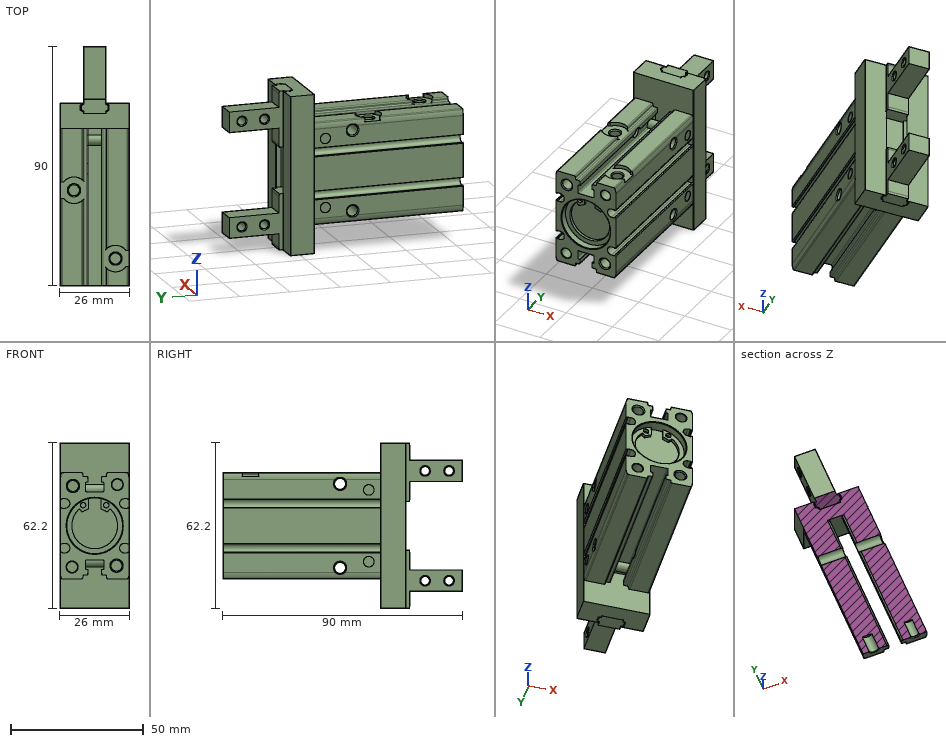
import cadquery as cq
import math


OVERLAP = 1.0
EDGE_TOLERANCE = 0.05

WIDTH = 26.0
HALF_WIDTH = WIDTH / 2
BODY_HALF_HEIGHT = 20.0
BODY_LENGTH = 59.2
FLANK_BEND_HEIGHT = 17.5
FLANK_INSET = 0.6
FLANK_EDGE_X = HALF_WIDTH - FLANK_INSET
LAND_EDGE_RADIUS = 0.5

SLOT_STEP_HALF_WIDTH = 4.5
SLOT_STEP_HEIGHT = 18.55
SLOT_MOUTH_HALF_WIDTH = 2.55
SLOT_ROOF_HEIGHT = 16.4
SLOT_ROOM_HALF_WIDTH = 3.45
SLOT_FLOOR_HEIGHT = 12.8
SLOT_EDGE_RADIUS = 0.5
SLOT_ROOM_RADIUS = 0.4

GROOVE_Z = 8.4
GROOVE_RADIUS = 1.8
GROOVE_X = HALF_WIDTH - 1.85
GROOVE_NECK_HALF_WIDTH = 1.5
GROOVE_MOUTH_HALF_WIDTH = 1.75
GROOVE_NECK_X = HALF_WIDTH - 0.5
GROOVE_LIP_X = HALF_WIDTH - 0.8

THREAD_DIAMETER = 4.13
THREAD_CHAMFER_DIAMETER = 5.0
SMALL_CHAMFER_DIAMETER = 4.5
END_HOLE_DEPTH = 7.0
END_HOLES = [
    ((8.2, -15.0), THREAD_CHAMFER_DIAMETER),
    ((8.5, 15.5), SMALL_CHAMFER_DIAMETER),
]
CROSS_HOLE_Y = 44.0
CROSS_HOLE_Z = 15.8

PORTS = [(-7.8, 36.0), (7.8, 10.3)]
PORT_DEPTH = 3.0
SPOT_FACE_RADIUS = 5.0
SPOT_FACE_OUTLET_WIDTH = 6.1

PIN_DIAMETER = 4.0
PIN_Y = 54.8
PIN_Z = 13.5
PIN_END_RECESS = 0.1

BORE_DIAMETER = 21.0
BORE_RADIUS = BORE_DIAMETER / 2
BORE_CHAMFER = 0.25
RING_DEPTH = 3.0
RING_THICKNESS = 1.2
RING_INNER_RADIUS = 8.6
RING_GAP_HALF_WIDTH = 2.3
LUG_GAP_END_Z = 6.4
LUG_TIP = (4.7, 5.25)
LUG_OUTER_CORNER = (5.8, 6.35)
LUG_HOLE = (4.35, 7.75)
LUG_HOLE_DIAMETER = 2.0

PLATE_HALF_HEIGHT = 31.1
PLATE_END_Y = 68.75
PLATE_EDGE_CHAMFER = 0.15

JAW_END_Y = 90.0
JAW_WIDTH = 8.4
JAW_HALF_WIDTH = JAW_WIDTH / 2
JAW_BASE_Y = 64.9
JAW_SHOULDER_Y = 70.25
JAW_BASE_LENGTH = 22.0
JAW_BASE_INNER_Z = PLATE_HALF_HEIGHT - JAW_BASE_LENGTH
JAW_TAPER_LENGTH = 1.0
JAW_TAPER_DROP = 0.2
JAW_BAR_Z = 20.65
JAW_BAR_HEIGHT = 8.1
JAW_HOLE_Y_POSITIONS = [76.0, 85.0]
JAW_HOLE_DIAMETER = 3.24
JAW_HOLE_CHAMFER_DIAMETER = 4.0
RIB_CENTER_Y = 67.05
RIB_HALF_HEIGHT = 1.4
RIB_FLAT_HALF_HEIGHT = 0.75
RIB_HALF_WIDTH = 5.05
RIB_CLEARANCE = 0.3


def extrude_along_y(sketch_points, start, end):
    """Prism with an (x, z) outline between two Y positions."""
    return cq.Workplane("XZ", origin=(0, start, 0)).polyline(sketch_points).close().extrude(start - end)


def rod_along_y(x, z, diameter, start, end):
    return cq.Workplane("XZ", origin=(x, start, z)).circle(diameter / 2).extrude(start - end)


def rod_along_x(y, z, diameter, half_length):
    """Rod centred on the X = 0 plane."""
    return cq.Workplane("YZ", origin=(0, y, z)).circle(diameter / 2).extrude(half_length, both=True)


def entry_cone(center, direction, core_diameter, mouth_diameter):
    """45 degree chamfer at a hole mouth, narrowing along the given direction."""
    depth = (mouth_diameter - core_diameter) / 2
    cone = cq.Solid.makeCone(
        mouth_diameter / 2, core_diameter / 2, depth, cq.Vector(*center), cq.Vector(*direction)
    )
    return cq.Workplane(obj=cone)


def cross_hole(y, z, half_width, diameter, mouth_diameter):
    """Hole right across X, chamfered at both ends."""
    hole = rod_along_x(y, z, diameter, half_width)
    for side in (-1, 1):
        hole = hole.union(entry_cone((side * half_width, y, z), (-side, 0, 0), diameter, mouth_diameter))
    return hole


def body_blank():
    """Solid outer shape of the cylinder body, with inward-curving flank ends."""
    rise = BODY_HALF_HEIGHT - FLANK_BEND_HEIGHT
    radius = (rise**2 + FLANK_INSET**2) / (2 * FLANK_INSET)
    half_turn = math.asin(rise / radius) / 2
    mid_x = HALF_WIDTH - radius * (1 - math.cos(half_turn))
    mid_z = FLANK_BEND_HEIGHT + radius * math.sin(half_turn)
    right_half = (
        cq.Workplane("XZ")
        .moveTo(0, -BODY_HALF_HEIGHT)
        .lineTo(FLANK_EDGE_X, -BODY_HALF_HEIGHT)
        .threePointArc((mid_x, -mid_z), (HALF_WIDTH, -FLANK_BEND_HEIGHT))
        .lineTo(HALF_WIDTH, FLANK_BEND_HEIGHT)
        .threePointArc((mid_x, mid_z), (FLANK_EDGE_X, BODY_HALF_HEIGHT))
        .lineTo(0, BODY_HALF_HEIGHT)
    )
    return right_half.mirrorY().extrude(-BODY_LENGTH)


def t_slot_outline(side):
    half = [
        (SLOT_STEP_HALF_WIDTH, BODY_HALF_HEIGHT + OVERLAP),
        (SLOT_STEP_HALF_WIDTH, SLOT_STEP_HEIGHT),
        (SLOT_MOUTH_HALF_WIDTH, SLOT_STEP_HEIGHT),
        (SLOT_MOUTH_HALF_WIDTH, SLOT_ROOF_HEIGHT),
        (SLOT_ROOM_HALF_WIDTH, SLOT_ROOF_HEIGHT),
        (SLOT_ROOM_HALF_WIDTH, SLOT_FLOOR_HEIGHT),
    ]
    right = [(x, side * z) for x, z in half]
    left = [(-x, side * z) for x, z in reversed(half)]
    return right + left


def cut_t_slots(body):
    for side in (-1, 1):
        body = body.cut(extrude_along_y(t_slot_outline(side), 0, BODY_LENGTH))
    return body


def edges_along_body(body, x, z):
    """The four mirrored lengthwise edges at a given distance from both middle planes."""
    edges = []
    for edge in body.edges("|Y").vals():
        point = edge.Center()
        if abs(abs(point.x) - x) < EDGE_TOLERANCE and abs(abs(point.z) - z) < EDGE_TOLERANCE:
            edges.append(edge)
    return body.newObject(edges)


def round_body_edges(body):
    body = edges_along_body(body, FLANK_EDGE_X, BODY_HALF_HEIGHT).fillet(LAND_EDGE_RADIUS)
    for x, z in (
        (SLOT_STEP_HALF_WIDTH, BODY_HALF_HEIGHT),
        (SLOT_STEP_HALF_WIDTH, SLOT_STEP_HEIGHT),
        (SLOT_MOUTH_HALF_WIDTH, SLOT_STEP_HEIGHT),
    ):
        body = edges_along_body(body, x, z).fillet(SLOT_EDGE_RADIUS)
    for z in (SLOT_ROOF_HEIGHT, SLOT_FLOOR_HEIGHT):
        body = edges_along_body(body, SLOT_ROOM_HALF_WIDTH, z).fillet(SLOT_ROOM_RADIUS)
    return body


def cut_sensor_grooves(body):
    """Round-bottomed grooves with parallel walls, a narrower neck and a slightly flared mouth."""
    upper_wall = [
        (GROOVE_X, GROOVE_RADIUS),
        (GROOVE_LIP_X, GROOVE_RADIUS),
        (GROOVE_NECK_X, GROOVE_NECK_HALF_WIDTH),
        (HALF_WIDTH, GROOVE_MOUTH_HALF_WIDTH),
    ]
    lower_wall = [(x, -z) for x, z in reversed(upper_wall)]
    for side in (-1, 1):
        for groove_z in (-GROOVE_Z, GROOVE_Z):
            channel = [(side * x, groove_z + z) for x, z in upper_wall + lower_wall]
            body = body.cut(rod_along_y(side * GROOVE_X, groove_z, 2 * GROOVE_RADIUS, 0, BODY_LENGTH))
            body = body.cut(extrude_along_y(channel, 0, BODY_LENGTH))
    return body


def cut_ports(body):
    top = SLOT_STEP_HEIGHT
    cut_height = BODY_HALF_HEIGHT + OVERLAP - top
    for x, y in PORTS:
        spot_face = cq.Workplane("XY", origin=(x, y, top)).circle(SPOT_FACE_RADIUS).extrude(cut_height)
        outlet_end = math.copysign(HALF_WIDTH + OVERLAP, x)
        outlet = cq.Workplane("XY", origin=((x + outlet_end) / 2, y, top)).box(
            abs(outlet_end - x), SPOT_FACE_OUTLET_WIDTH, cut_height, centered=(True, True, False)
        )
        port = cq.Workplane("XY", origin=(x, y, top)).circle(THREAD_DIAMETER / 2).extrude(-PORT_DEPTH)
        mouth = entry_cone((x, y, top), (0, 0, -1), THREAD_DIAMETER, THREAD_CHAMFER_DIAMETER)
        body = body.cut(spot_face).cut(outlet).cut(port).cut(mouth)
    return body


def cut_end_holes(body):
    for side in (-1, 1):
        for (hole_x, hole_z), mouth_diameter in END_HOLES:
            x = side * hole_x
            z = side * hole_z
            body = body.cut(rod_along_y(x, z, THREAD_DIAMETER, 0, END_HOLE_DEPTH))
            body = body.cut(entry_cone((x, 0, z), (0, 1, 0), THREAD_DIAMETER, mouth_diameter))
    return body


def cut_cross_holes(body):
    for z in (-CROSS_HOLE_Z, CROSS_HOLE_Z):
        body = body.cut(cross_hole(CROSS_HOLE_Y, z, HALF_WIDTH, THREAD_DIAMETER, THREAD_CHAMFER_DIAMETER))
    return body


def add_slot_pins(body):
    """Round pins that cross the T-slots, their ends just below the flanks."""
    for z in (-PIN_Z, PIN_Z):
        body = body.cut(rod_along_x(PIN_Y, z, PIN_DIAMETER, HALF_WIDTH))
        body = body.union(rod_along_x(PIN_Y, z, PIN_DIAMETER, HALF_WIDTH - PIN_END_RECESS))
    return body


def retaining_ring():
    """Open ring with two drilled lugs beside its gap."""
    start = RING_DEPTH
    end = RING_DEPTH + RING_THICKNESS
    ring = rod_along_y(0, 0, BORE_DIAMETER, start, end)
    ring = ring.cut(rod_along_y(0, 0, 2 * RING_INNER_RADIUS, start, end))
    for side in (-1, 1):
        lug_outline = [
            (side * RING_GAP_HALF_WIDTH, BORE_RADIUS),
            (side * RING_GAP_HALF_WIDTH, LUG_GAP_END_Z),
            (side * LUG_TIP[0], LUG_TIP[1]),
            (side * LUG_OUTER_CORNER[0], LUG_OUTER_CORNER[1]),
            (side * LUG_OUTER_CORNER[0], BORE_RADIUS),
        ]
        lug = extrude_along_y(lug_outline, start, end)
        lug = lug.intersect(rod_along_y(0, 0, BORE_DIAMETER, start, end))
        ring = ring.union(lug)
    gap = [
        (-RING_GAP_HALF_WIDTH, 0),
        (RING_GAP_HALF_WIDTH, 0),
        (RING_GAP_HALF_WIDTH, BORE_RADIUS),
        (-RING_GAP_HALF_WIDTH, BORE_RADIUS),
    ]
    ring = ring.cut(extrude_along_y(gap, start, end))
    for side in (-1, 1):
        ring = ring.cut(rod_along_y(side * LUG_HOLE[0], LUG_HOLE[1], LUG_HOLE_DIAMETER, start, end))
    return ring


def cut_bore(body):
    body = body.cut(rod_along_y(0, 0, BORE_DIAMETER, 0, RING_DEPTH + RING_THICKNESS))
    mouth_diameter = BORE_DIAMETER + 2 * BORE_CHAMFER
    body = body.cut(entry_cone((0, 0, 0), (0, 1, 0), BORE_DIAMETER, mouth_diameter))
    return body.union(retaining_ring())


def guide_profile(clearance):
    """Outline of the jaw foot in X and Y: a straight-sided block with a bevelled rib on each side."""
    rib_x = RIB_HALF_WIDTH + clearance
    rib_root = RIB_HALF_HEIGHT + clearance
    rib_flat = RIB_FLAT_HALF_HEIGHT + clearance / 2
    right = [
        (JAW_HALF_WIDTH, JAW_BASE_Y),
        (JAW_HALF_WIDTH, RIB_CENTER_Y - rib_root),
        (rib_x, RIB_CENTER_Y - rib_flat),
        (rib_x, RIB_CENTER_Y + rib_flat),
        (JAW_HALF_WIDTH, RIB_CENTER_Y + rib_root),
        (JAW_HALF_WIDTH, JAW_SHOULDER_Y),
    ]
    return right + [(-x, y) for x, y in reversed(right)]


def guide_prism(clearance, bottom, top):
    outline = cq.Workplane("XY", origin=(0, 0, bottom)).polyline(guide_profile(clearance)).close()
    return outline.extrude(top - bottom)


def guide_plate():
    plate = cq.Workplane("XY", origin=(0, (BODY_LENGTH + PLATE_END_Y) / 2, 0)).box(
        WIDTH, PLATE_END_Y - BODY_LENGTH, 2 * PLATE_HALF_HEIGHT
    )
    plate = plate.edges("|Z").chamfer(PLATE_EDGE_CHAMFER)
    return plate.cut(guide_prism(RIB_CLEARANCE, -PLATE_HALF_HEIGHT, PLATE_HALF_HEIGHT))


def make_housing():
    body = body_blank()
    body = cut_t_slots(body)
    body = round_body_edges(body)
    body = cut_sensor_grooves(body)
    body = cut_ports(body)
    body = cut_end_holes(body)
    body = cut_cross_holes(body)
    body = add_slot_pins(body)
    body = cut_bore(body)
    return body.union(guide_plate())


def make_jaw():
    """Upper jaw: a ribbed foot that slides in the plate and a drilled bar."""
    foot = guide_prism(0, JAW_BASE_INNER_Z, PLATE_HALF_HEIGHT)
    side_outline = [
        (JAW_BASE_Y, JAW_BASE_INNER_Z),
        (JAW_SHOULDER_Y - JAW_TAPER_DROP, JAW_BASE_INNER_Z),
        (JAW_SHOULDER_Y, JAW_BASE_INNER_Z + JAW_TAPER_LENGTH),
        (JAW_SHOULDER_Y, PLATE_HALF_HEIGHT - JAW_TAPER_LENGTH),
        (JAW_SHOULDER_Y - JAW_TAPER_DROP, PLATE_HALF_HEIGHT),
        (JAW_BASE_Y, PLATE_HALF_HEIGHT),
    ]
    foot = foot.intersect(cq.Workplane("YZ").polyline(side_outline).close().extrude(HALF_WIDTH, both=True))
    bar = cq.Workplane("XY", origin=(0, (JAW_BASE_Y + JAW_END_Y) / 2, JAW_BAR_Z)).box(
        JAW_WIDTH, JAW_END_Y - JAW_BASE_Y, JAW_BAR_HEIGHT
    )
    jaw = foot.union(bar)
    for y in JAW_HOLE_Y_POSITIONS:
        hole = cross_hole(y, JAW_BAR_Z, JAW_HALF_WIDTH, JAW_HOLE_DIAMETER, JAW_HOLE_CHAMFER_DIAMETER)
        jaw = jaw.cut(hole)
    return jaw


housing = make_housing()
upper_jaw = make_jaw()
jaws = [upper_jaw, upper_jaw.mirror("XY")]

result = cq.Compound.makeCompound([housing.val(), *[jaw.val() for jaw in jaws]])